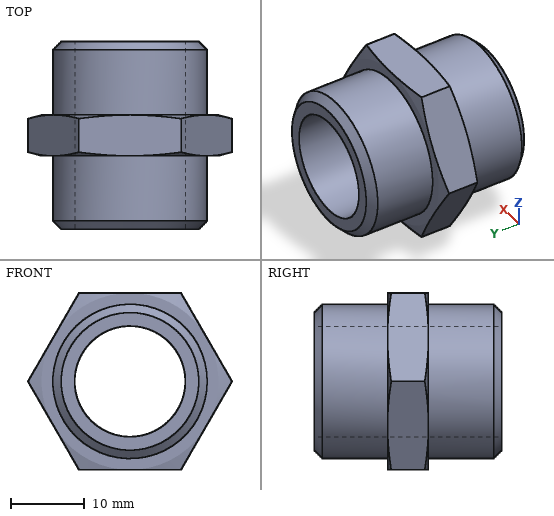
import cadquery as cq
import math

length = 25.5
hex_across_corners = 27.7
hex_across_flats = hex_across_corners * math.cos(math.radians(30))
hex_width = 5.55
hex_chamfer_angle = 15.0
barrel_diameter = 20.95
barrel_chamfer = 1.14
bore_diameter = 15.0


def make_barrel():
    """Cylinder centred on the origin along Y, chamfered at both ends."""
    barrel = cq.Workplane("XZ").circle(barrel_diameter / 2).extrude(length / 2, both=True)
    return barrel.edges("%CIRCLE").chamfer(barrel_chamfer)


def make_nut():
    """Hexagon with corners on X, its corners turned down by a cone on each face."""
    hexagon = cq.Workplane("XZ").polygon(6, hex_across_corners).extrude(hex_width / 2, both=True)
    face_radius = hex_across_flats / 2
    corner_radius = hex_across_corners / 2
    half_width = hex_width / 2
    corner_drop = (corner_radius - face_radius) * math.tan(math.radians(hex_chamfer_angle))
    turned_envelope = (
        cq.Workplane("XY")
        .moveTo(0, -half_width)
        .lineTo(face_radius, -half_width)
        .lineTo(corner_radius, -half_width + corner_drop)
        .lineTo(corner_radius, half_width - corner_drop)
        .lineTo(face_radius, half_width)
        .lineTo(0, half_width)
        .close()
        .revolve(360, (0, 0, 0), (0, 1, 0))
    )
    return hexagon.intersect(turned_envelope)


bore = cq.Workplane("XZ").circle(bore_diameter / 2).extrude(length / 2, both=True)
result = make_barrel().union(make_nut()).cut(bore)